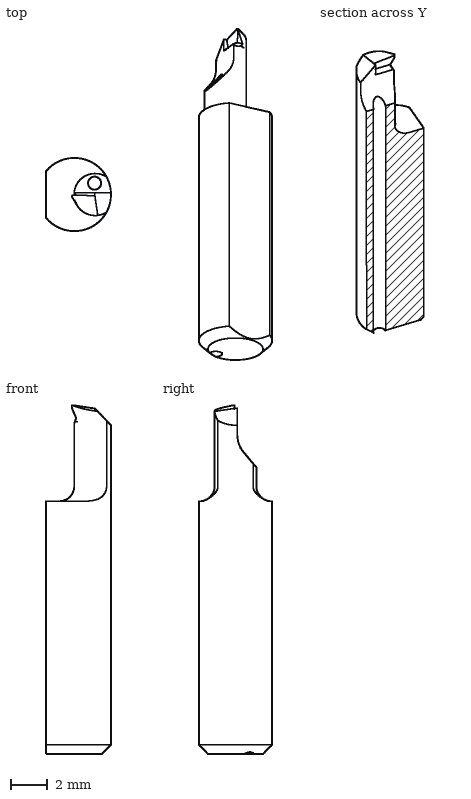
import cadquery as cq
import math

SHANK_RADIUS = 2.0
SHANK_LENGTH = 13.77
SHANK_FLAT_X = -1.55
BASE_CHAMFER = 0.5
TOTAL_LENGTH = 19.0

NECK_RADIUS = 1.145
NECK_X = 1.13
FLARE_RADIUS = 0.8

RELIEF_Y = 0.105
RELIEF_ARC_RADIUS = 1.5
RELIEF_ARC_START_Z = 17.38
RELIEF_RAMP_ANGLE = math.radians(40)

COOLANT_DIAMETER = 0.7
COOLANT_X = 1.1
COOLANT_Y = 0.62

TIP_X = -0.15
TIP_Y = -0.1
FLANK_BOTTOM_Z = 18.1
TIP_NOSE_HEIGHT = 0.14
UNDERCUT_ROOT = (0.09, 18.29)
UNDERCUT_EXIT = (0.0, 18.03)

END_FALL_X = 0.15
END_FALL_Y = 0.13
TOP_CHAMFER_START = (1.12, 18.81)
TOP_CHAMFER_ANGLE = math.radians(46)

RAKE_TOP_Y = -0.03
GROOVE_ROOT = (-0.165, 18.3)
GROOVE_EXIT_Z = 18.14
GROOVE_END_X = 1.1

MARGIN = 2.0


def cylinder(radius, x, y, z_bottom, z_top):
    """Upright cylinder between two heights."""
    return cq.Workplane("XY", origin=(x, y, z_bottom)).circle(radius).extrude(z_top - z_bottom)


def prism_along_x(points, x_start, x_end):
    """Straight prism from a polygon of (Y, Z) points."""
    return cq.Workplane("YZ", origin=(x_start, 0, 0)).polyline(points).close().extrude(x_end - x_start)


def prism_along_y(points, y_start, y_end):
    """Straight prism from a polygon of (X, Z) points."""
    return cq.Workplane("XZ", origin=(0, y_end, 0)).polyline(points).close().extrude(y_end - y_start)


def make_shank():
    shank = cylinder(SHANK_RADIUS, 0, 0, 0, SHANK_LENGTH).faces("<Z").chamfer(BASE_CHAMFER)
    flat_cut = cq.Workplane("XY").box(MARGIN, 2 * SHANK_RADIUS, TOTAL_LENGTH, centered=(False, True, False))
    return shank.cut(flat_cut.translate((SHANK_FLAT_X - MARGIN, 0, 0)))


def make_neck():
    """Neck with its concave flare, kept inside the shank's cylinder."""
    flare_outer = NECK_RADIUS + FLARE_RADIUS
    flare_top = SHANK_LENGTH + FLARE_RADIUS
    diagonal = FLARE_RADIUS * math.sqrt(0.5)
    flare_middle = (flare_outer - diagonal, flare_top - diagonal)
    profile = (
        cq.Workplane("XZ")
        .moveTo(0, SHANK_LENGTH)
        .lineTo(flare_outer, SHANK_LENGTH)
        .threePointArc(flare_middle, (NECK_RADIUS, flare_top))
        .lineTo(NECK_RADIUS, TOTAL_LENGTH)
        .lineTo(0, TOTAL_LENGTH)
        .close()
    )
    neck = profile.revolve(360, (0, 0, 0), (0, 1, 0)).translate((NECK_X, 0, 0))
    return neck.intersect(cylinder(SHANK_RADIUS, 0, 0, 0, TOTAL_LENGTH))


def flank_end():
    """Plan point where the straight flank from the tip runs tangent into the neck."""
    to_neck_x = NECK_X - TIP_X
    to_neck_y = -TIP_Y
    distance = math.hypot(to_neck_x, to_neck_y)
    flank_angle = math.atan2(to_neck_y, to_neck_x) - math.asin(NECK_RADIUS / distance)
    flank_length = math.sqrt(distance**2 - NECK_RADIUS**2)
    return (
        TIP_X + flank_length * math.cos(flank_angle),
        TIP_Y + flank_length * math.sin(flank_angle),
    )


def make_tip():
    """Upright wedge that carries the cutting point beyond the neck."""
    outline = [(TIP_X, TIP_Y), flank_end(), (NECK_X, RELIEF_Y), (NECK_X - NECK_RADIUS, RELIEF_Y)]
    height = TOTAL_LENGTH - FLANK_BOTTOM_Z
    return cq.Workplane("XY", origin=(0, 0, FLANK_BOTTOM_Z)).polyline(outline).close().extrude(height)


def make_undercut():
    """Clears the material below the overhanging tip."""
    points = [
        (TIP_X, TOTAL_LENGTH - TIP_NOSE_HEIGHT),
        UNDERCUT_ROOT,
        UNDERCUT_EXIT,
        (TIP_X, UNDERCUT_EXIT[1]),
    ]
    return prism_along_y(points, -MARGIN, MARGIN)


def make_relief_cut():
    arc_sine = RELIEF_ARC_RADIUS * math.sin(RELIEF_RAMP_ANGLE)
    arc_rise = RELIEF_ARC_RADIUS * (1 - math.cos(RELIEF_RAMP_ANGLE))
    half_angle = RELIEF_RAMP_ANGLE / 2
    arc_middle = (
        RELIEF_Y + RELIEF_ARC_RADIUS * (1 - math.cos(half_angle)),
        RELIEF_ARC_START_Z - RELIEF_ARC_RADIUS * math.sin(half_angle),
    )
    arc_end = (RELIEF_Y + arc_rise, RELIEF_ARC_START_Z - arc_sine)
    ramp_end_y = SHANK_RADIUS
    ramp_end_z = arc_end[1] - (ramp_end_y - arc_end[0]) / math.tan(RELIEF_RAMP_ANGLE)
    profile = (
        cq.Workplane("YZ", origin=(-MARGIN, 0, 0))
        .moveTo(RELIEF_Y, TOTAL_LENGTH)
        .lineTo(RELIEF_Y, RELIEF_ARC_START_Z)
        .threePointArc(arc_middle, arc_end)
        .lineTo(ramp_end_y, ramp_end_z)
        .lineTo(ramp_end_y, TOTAL_LENGTH)
        .close()
    )
    return profile.extrude(SHANK_RADIUS + 2 * MARGIN)


def make_end_face_cut():
    """Everything above the end face, which falls away from the tip along +X and -Y."""
    end_plane = cq.Plane(
        origin=(TIP_X, TIP_Y, TOTAL_LENGTH),
        xDir=(1, 0, -END_FALL_X),
        normal=(END_FALL_X, -END_FALL_Y, 1),
    )
    side = 4 * SHANK_RADIUS
    return cq.Workplane(end_plane).rect(side, side).extrude(MARGIN)


def make_top_chamfer_cut():
    start_x, start_z = TOP_CHAMFER_START
    slope = math.tan(TOP_CHAMFER_ANGLE)
    upper_x = start_x - MARGIN
    lower_x = start_x + MARGIN
    upper = (upper_x, start_z + MARGIN * slope)
    lower = (lower_x, start_z - MARGIN * slope)
    return prism_along_y([upper, lower, (lower_x, upper[1])], -MARGIN, MARGIN)


def make_chip_groove():
    """V groove along X: a rake face down from the edge, then a short ramp back out to the flat."""
    points = [
        (RAKE_TOP_Y, TOTAL_LENGTH),
        GROOVE_ROOT,
        (RELIEF_Y, GROOVE_EXIT_Z),
        (RELIEF_Y, TOTAL_LENGTH),
    ]
    return prism_along_x(points, -MARGIN, GROOVE_END_X)


neck = make_neck().union(make_tip())
neck = neck.cut(make_undercut())
neck = neck.cut(make_relief_cut()).cut(make_chip_groove())
neck = neck.cut(make_end_face_cut()).cut(make_top_chamfer_cut())

coolant_hole = cylinder(COOLANT_DIAMETER / 2, COOLANT_X, COOLANT_Y, 0, TOTAL_LENGTH)

result = make_shank().union(neck).cut(coolant_hole)